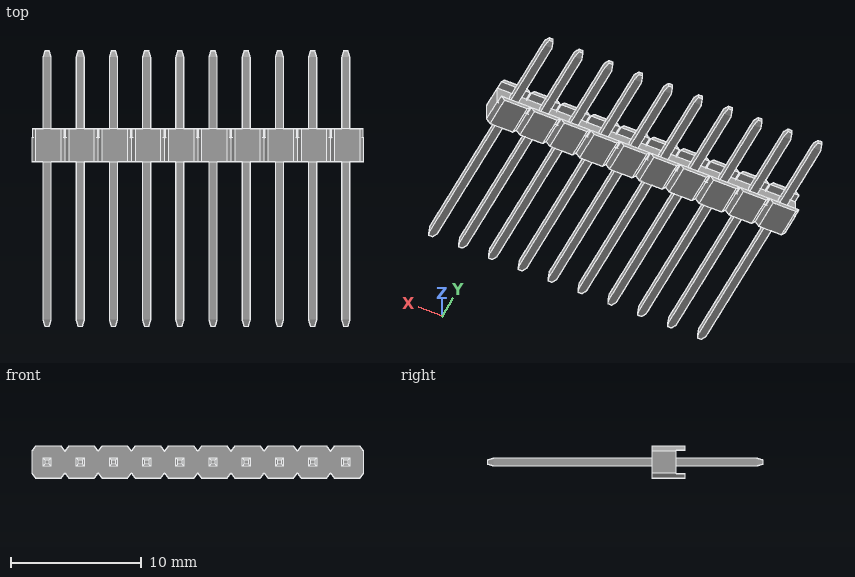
import cadquery as cq

pin_count = 10
row_length = 25.4
pitch = row_length / pin_count

housing_depth = 2.55
housing_height = 2.5
corner_width = 0.3
corner_height = 0.4
recess_depth = 0.69
flange_thickness = 0.35

pin_width = 0.64
pin_length = 21.1
pin_front_length = 12.6
pin_shift = -0.1
tip_length = 0.5
tip_width = 0.33

housing_back = housing_depth / 2
housing_front = -housing_back
pin_front = housing_front - pin_front_length
pin_back = pin_front + pin_length


def housing_cell(center_x):
    """Octagonal block around one pin; neighbouring corners form V-notches."""
    half_width = pitch / 2
    half_height = housing_height / 2
    flat_x = half_width - corner_width
    flat_z = half_height - corner_height
    corners = [
        (-flat_x, half_height),
        (flat_x, half_height),
        (half_width, flat_z),
        (half_width, -flat_z),
        (flat_x, -half_height),
        (-flat_x, -half_height),
        (-half_width, -flat_z),
        (-half_width, flat_z),
    ]
    return (
        cq.Workplane("XZ", origin=(center_x, housing_back, 0))
        .polyline(corners)
        .close()
        .extrude(housing_depth)
    )


def back_recess():
    """Channel along the back of the whole row, leaving a thin flange above and below."""
    recess_height = housing_height - 2 * flange_thickness
    return cq.Workplane("XY").box(row_length, recess_depth, recess_height).translate(
        (0, housing_back - recess_depth / 2, 0)
    )


def pin_tip(center_x, base_y, direction):
    """Tapered end of a pin, pointing along +Y (1) or -Y (-1)."""
    base = cq.Plane(origin=(center_x, base_y, 0), xDir=(1, 0, 0), normal=(0, direction, 0))
    return (
        cq.Workplane(base)
        .rect(pin_width, pin_width)
        .workplane(offset=tip_length)
        .rect(tip_width, tip_width)
        .loft(ruled=True)
    )


def pin(center_x):
    """Square pin with a tapered tip at each end."""
    shaft_front = pin_front + tip_length
    shaft_back = pin_back - tip_length
    shaft = (
        cq.Workplane("XZ", origin=(center_x, shaft_back, 0))
        .rect(pin_width, pin_width)
        .extrude(shaft_back - shaft_front)
    )
    return shaft.union(pin_tip(center_x, shaft_front, -1)).union(pin_tip(center_x, shaft_back, 1))


cell_centers = [(index + 0.5) * pitch - row_length / 2 for index in range(pin_count)]

housing = housing_cell(cell_centers[0])
for cell_center in cell_centers[1:]:
    housing = housing.union(housing_cell(cell_center))
housing = housing.cut(back_recess())

result = housing
for cell_center in cell_centers:
    result = result.union(pin(cell_center + pin_shift))